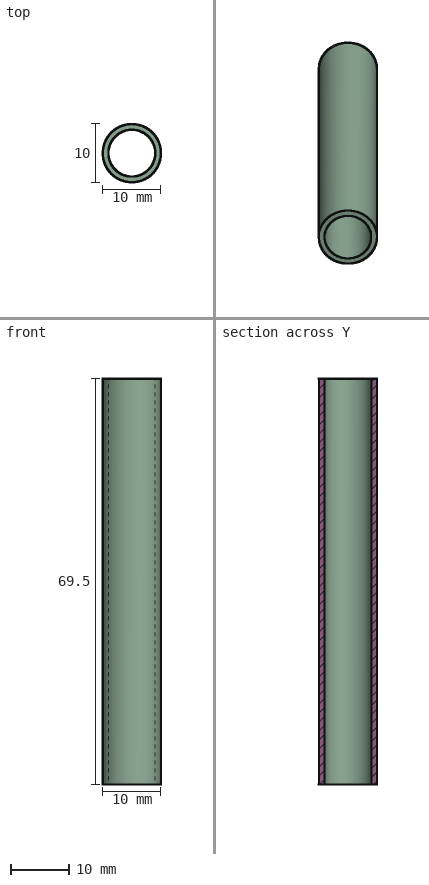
import cadquery as cq

length = 69.5
outer_diameter = 10.0
inner_diameter = 8.0

result = (
    cq.Workplane("XY")
    .circle(outer_diameter / 2)
    .circle(inner_diameter / 2)
    .extrude(length)
)